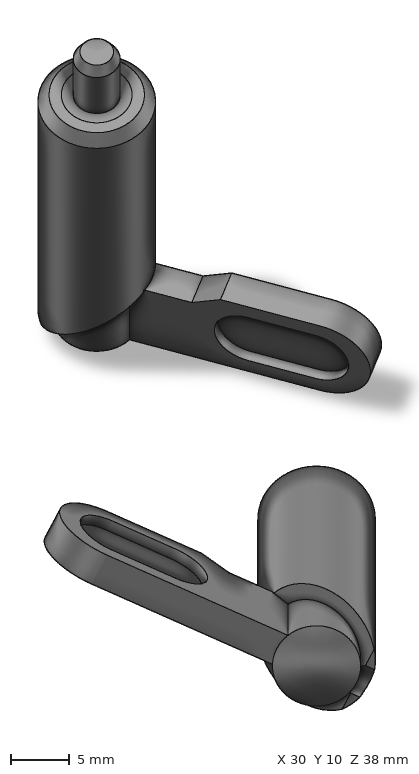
import cadquery as cq
import math

total_height = 38.0
total_length = 30.0

sleeve_diameter = 10.0
sleeve_radius = sleeve_diameter / 2
sleeve_bottom = 2.0
sleeve_top = 32.0
sleeve_chamfer = 0.95
bore_diameter = 6.0

ramp_low_x = -3.9
ramp_high_x = 5.0
ramp_high_z = 8.55

notch_width = 2.85
notch_height = 0.5

pin_diameter = 4.0
pin_chamfer_height = 1.0
pin_chamfer_width = pin_chamfer_height * math.tan(math.radians(30))
head_diameter = 7.5
dome_height = 1.0

lever_thickness = 3.0
lever_height = 9.0
lever_bottom = dome_height
lever_top = lever_bottom + lever_height
lever_end_radius = lever_height / 2
lever_middle_z = lever_bottom + lever_end_radius
lever_tip_x = total_length - sleeve_radius
lever_end_x = lever_tip_x - lever_end_radius
neck_drop = 1.5
neck_top = lever_top - neck_drop
neck_end_x = 9.0
shoulder_end_x = neck_end_x + neck_drop / math.tan(math.radians(30))

pocket_length = 12.0
pocket_height = 6.0
pocket_depth = 1.0
pocket_center_x = 17.02


def cylinder(diameter, bottom, top):
    return cq.Workplane("XY").workplane(offset=bottom).circle(diameter / 2).extrude(top - bottom)


def make_neck():
    """Straight lever root between the spindle axis and the shoulder."""
    return cq.Workplane("XY").box(
        neck_end_x, lever_thickness, neck_top - lever_bottom, centered=(False, True, False)
    ).translate((0, 0, lever_bottom))


def make_lever():
    """Flat lever with a raised round end and a pocket in each face."""
    blade = (
        cq.Workplane("XZ")
        .moveTo(neck_end_x, lever_bottom)
        .lineTo(lever_end_x, lever_bottom)
        .threePointArc((lever_tip_x, lever_middle_z), (lever_end_x, lever_top))
        .lineTo(shoulder_end_x, lever_top)
        .lineTo(neck_end_x, neck_top)
        .close()
        .extrude(lever_thickness / 2, both=True)
    )
    lever = make_neck().union(blade)
    web_thickness = lever_thickness - 2 * pocket_depth
    for side in (-1, 1):
        pocket = (
            cq.Workplane("XZ", origin=(pocket_center_x, side * web_thickness / 2, lever_middle_z))
            .slot2D(pocket_length, pocket_height)
            .extrude(-side * pocket_depth)
        )
        lever = lever.cut(pocket)
    return lever


def make_spindle():
    """Revolved spindle with a domed head, bore-sized shank and tapered pin."""
    head_radius = head_diameter / 2
    shank_radius = bore_diameter / 2
    pin_radius = pin_diameter / 2
    dome_radius = (head_radius**2 + dome_height**2) / (2 * dome_height)
    arc_x = head_radius / 2
    arc_z = dome_radius - math.sqrt(dome_radius**2 - arc_x**2)
    return (
        cq.Workplane("XZ")
        .moveTo(0, 0)
        .threePointArc((arc_x, arc_z), (head_radius, dome_height))
        .lineTo(head_radius, neck_top)
        .lineTo(shank_radius, neck_top)
        .lineTo(shank_radius, sleeve_top)
        .lineTo(pin_radius, sleeve_top)
        .lineTo(pin_radius, total_height - pin_chamfer_height)
        .lineTo(pin_radius - pin_chamfer_width, total_height)
        .lineTo(0, total_height)
        .close()
        .revolve(360, (0, 0, 0), (0, 1, 0))
    )


def make_ramp_cutter():
    """Wedge below the sloped end of the sleeve."""
    return (
        cq.Workplane("XZ")
        .moveTo(ramp_low_x, sleeve_bottom)
        .lineTo(ramp_high_x, ramp_high_z)
        .lineTo(ramp_high_x, sleeve_bottom)
        .close()
        .extrude(sleeve_diameter, both=True)
    )


def make_notch_cutter():
    """Arched bar that cuts the rest notch through the -X wall, opposite the lever."""
    return (
        cq.Workplane("YZ")
        .moveTo(-notch_width / 2, sleeve_bottom)
        .threePointArc((0, sleeve_bottom + notch_height), (notch_width / 2, sleeve_bottom))
        .close()
        .extrude(-sleeve_radius)
    )


def make_sleeve():
    """Sleeve with a stepped bore, a sloped lower end, a rest notch and a lever slot."""
    body = cylinder(sleeve_diameter, sleeve_bottom, sleeve_top).faces(">Z").chamfer(sleeve_chamfer)
    body = body.cut(cylinder(bore_diameter, sleeve_bottom, sleeve_top))
    body = body.cut(cylinder(head_diameter, sleeve_bottom, neck_top))
    return body.cut(make_ramp_cutter()).cut(make_notch_cutter()).cut(make_neck())


sleeve = make_sleeve()
lever_spindle = make_spindle().union(make_lever())

result = cq.Compound.makeCompound([sleeve.val(), lever_spindle.val()])